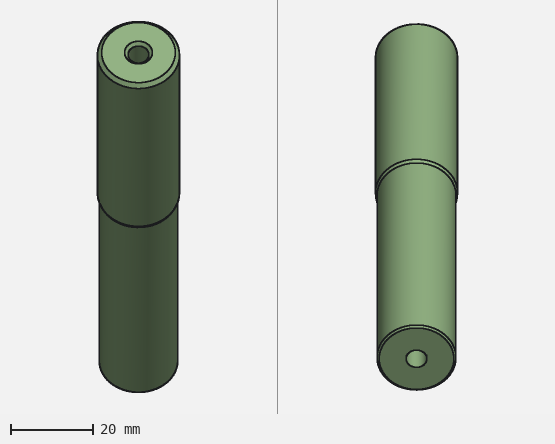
import cadquery as cq

length = 130.0
head_diameter = 20.0
shank_diameter = 19.2
head_length = 60.0

top_chamfer = 1.0
shoulder_height = 1.0
bottom_chamfer = 0.5

bore_diameter = 5.1
countersink_diameter = 6.8

head_radius = head_diameter / 2
shank_radius = shank_diameter / 2
bore_radius = bore_diameter / 2
countersink_radius = countersink_diameter / 2
countersink_depth = countersink_radius - bore_radius

top = length / 2
bottom = -length / 2
head_bottom = top - head_length

half_section = [
    (bore_radius, bottom),
    (shank_radius - bottom_chamfer, bottom),
    (shank_radius, bottom + bottom_chamfer),
    (shank_radius, head_bottom),
    (head_radius, head_bottom + shoulder_height),
    (head_radius, top - top_chamfer),
    (head_radius - top_chamfer, top),
    (countersink_radius, top),
    (bore_radius, top - countersink_depth),
]

result = cq.Workplane("XZ").polyline(half_section).close().revolve(360, (0, 0), (0, 1))